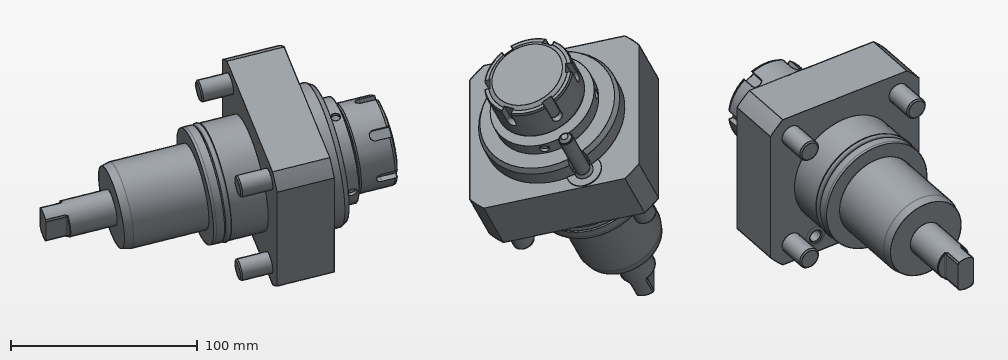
import cadquery as cq
import math


PLATE_SIDE = 96.0
PLATE_CORNER_DIA = 125.0
PLATE_BACK = 32.2

FLANGE_RADIUS = 40.0
FLANGE_BACK = 43.7
FLANGE_CHAMFER_RADIAL = 1.8
FLANGE_CHAMFER_LENGTH = 3.0

RELIEF_RADIUS = 26.0
RING_RADIUS = 29.5
RING_FRONT = 44.5
RING_BACK = 52.0
RING_HOLE_RADIUS = 2.6
RING_HOLE_DEPTH = 2.0
RING_HOLE_COUNT = 4
DRILL_POINT_ANGLE = 120.0

NECK_RADIUS = 20.6
NUT_FRONT = 54.0
NUT_RADIUS = 25.0
NUT_FRONT_CHAMFER = 0.8
NUT_RIM = 75.2
NUT_RIM_CHAMFER_RADIAL = 0.5
NUT_RIM_CHAMFER_LENGTH = 1.3
NOSE_BASE_RADIUS = 22.4
NOSE_RADIUS = 20.0
NOSE_BACK = 76.5

SLOT_COUNT = 6
SLOT_WIDTH = 6.0
SLOT_FLOOR_RADIUS = 21.5
SLOT_END = 63.4
LONG_SLOT_INDEX = 4
LONG_SLOT_END = 59.8

COLLAR_RADIUS = 32.5
COLLAR_LENGTH = 30.7
COLLAR_LEAD_RADIAL = 0.1
COLLAR_LEAD_LENGTH = 1.6
SHANK_RADIUS = 24.0
SHANK_END = -77.8
SHANK_CHAMFER_RADIAL = 1.2
SHANK_CHAMFER_LENGTH = 4.8
SHAFT_RADIUS = 10.0
OVERALL_LENGTH = 192.8
SHAFT_END = NOSE_BACK - OVERALL_LENGTH

TANG_WIDTH = 10.0
TANG_LENGTH = 12.0
TANG_CHAMFER_HEIGHT = 1.2
TANG_FLAT_HALF_HEIGHT = 7.8
TANG_ROOT_FILLET = 0.7
SHOULDER_CHAMFER = 0.4

ORING_SECTION_RADIUS = 1.5
GROOVE_BACK = -20.6
GROOVE_WIDTH = 4.0
GROOVE_RADIUS = 30.0

SCREW_X = 34.5
SCREW_Z = 35.5
SCREW_RADIUS = 6.0
SCREW_LENGTH = 17.8
SCREW_CHAMFER = 0.8

PIN_X = -17.0
PIN_Z = -37.4
PIN_RADIUS = 4.0
PIN_STEP = 62.4
PIN_TIP = 64.7
PIN_TIP_RADIUS = 3.5
PIN_TIP_CHAMFER = 1.5
PIN_BASE_RADIUS = 5.2
PIN_BASE_LENGTH = 2.3
PIN_SEAT_RADIUS = 9.8
PIN_SEAT_HEIGHT = 0.4
PIN_CLEARANCE_RADIUS = 5.5
INLET_X = -19.0
INLET_BASE_RADIUS = 6.0
INLET_RIM_RADIUS = 4.2
INLET_HEIGHT = 0.5
INLET_BORE_RADIUS = 3.4
INLET_BORE_DEPTH = 8.0
INLET_CHAMFER = 0.6


def turned(points):
    """Revolve a closed outline of (radius, y) points about the Y axis."""
    return cq.Workplane("XY").polyline(points).close().revolve(360, (0, 0), (0, 1))


def rod(radius, start, end, x=0.0, z=0.0):
    """Cylinder along Y from `start` to `end`."""
    base = cq.Vector(x, start, z)
    axis = cq.Vector(0, 1, 0)
    return cq.Workplane(cq.Solid.makeCylinder(radius, end - start, base, axis))


def make_plate():
    """Square plate with turned corners."""
    square = cq.Workplane("XY").box(PLATE_SIDE, PLATE_BACK, PLATE_SIDE, centered=(True, False, True))
    return square.intersect(rod(PLATE_CORNER_DIA / 2, 0, PLATE_BACK))


def make_turned_core():
    """Everything turned about the tool axis, from the drive shaft to the nose of the collet nut."""
    groove_front = GROOVE_BACK - GROOVE_WIDTH
    return turned([
        (0, SHAFT_END),
        (SHAFT_RADIUS, SHAFT_END),
        (SHAFT_RADIUS, SHANK_END),
        (SHANK_RADIUS - SHANK_CHAMFER_RADIAL, SHANK_END),
        (SHANK_RADIUS, SHANK_END + SHANK_CHAMFER_LENGTH),
        (SHANK_RADIUS, -COLLAR_LENGTH),
        (COLLAR_RADIUS - COLLAR_LEAD_RADIAL, -COLLAR_LENGTH),
        (COLLAR_RADIUS, -COLLAR_LENGTH + COLLAR_LEAD_LENGTH),
        (COLLAR_RADIUS, groove_front),
        (GROOVE_RADIUS, groove_front),
        (GROOVE_RADIUS, GROOVE_BACK),
        (COLLAR_RADIUS, GROOVE_BACK),
        (COLLAR_RADIUS, PLATE_BACK / 2),
        (FLANGE_RADIUS, PLATE_BACK / 2),
        (FLANGE_RADIUS, FLANGE_BACK - FLANGE_CHAMFER_LENGTH),
        (FLANGE_RADIUS - FLANGE_CHAMFER_RADIAL, FLANGE_BACK),
        (RELIEF_RADIUS, FLANGE_BACK),
        (RELIEF_RADIUS, RING_FRONT),
        (RING_RADIUS, RING_FRONT),
        (RING_RADIUS, RING_BACK),
        (NECK_RADIUS, RING_BACK),
        (NECK_RADIUS, NUT_FRONT),
        (NUT_RADIUS - NUT_FRONT_CHAMFER, NUT_FRONT),
        (NUT_RADIUS, NUT_FRONT + NUT_FRONT_CHAMFER),
        (NUT_RADIUS, NUT_RIM - NUT_RIM_CHAMFER_LENGTH),
        (NUT_RADIUS - NUT_RIM_CHAMFER_RADIAL, NUT_RIM),
        (NOSE_BASE_RADIUS, NUT_RIM),
        (NOSE_RADIUS, NOSE_BACK),
        (0, NOSE_BACK),
    ])


def cut_ring_holes(body):
    """Spanner holes with drill-point bottoms around the ring nut."""
    drill_tip = RING_HOLE_RADIUS / math.tan(math.radians(DRILL_POINT_ANGLE / 2))
    hole = turned([
        (0, RING_RADIUS + RING_HOLE_DEPTH),
        (RING_HOLE_RADIUS, RING_RADIUS + RING_HOLE_DEPTH),
        (RING_HOLE_RADIUS, RING_RADIUS - RING_HOLE_DEPTH),
        (0, RING_RADIUS - RING_HOLE_DEPTH - drill_tip),
    ])
    hole = hole.rotate((0, 0, 0), (0, 0, 1), -90).translate((0, (RING_FRONT + RING_BACK) / 2, 0))
    for index in range(RING_HOLE_COUNT):
        body = body.cut(hole.rotate((0, 0, 0), (0, 1, 0), index * 360 / RING_HOLE_COUNT))
    return body


def cut_nut_slots(body):
    """Round-ended wrench slots, open towards the nose of the collet nut."""
    for index in range(SLOT_COUNT):
        slot_end = LONG_SLOT_END if index == LONG_SLOT_INDEX else SLOT_END
        arc_centre = slot_end + SLOT_WIDTH / 2
        slot = (
            cq.Workplane("YZ", origin=(SLOT_FLOOR_RADIUS, 0, 0))
            .moveTo(NOSE_BACK, -SLOT_WIDTH / 2)
            .lineTo(arc_centre, -SLOT_WIDTH / 2)
            .threePointArc((slot_end, 0), (arc_centre, SLOT_WIDTH / 2))
            .lineTo(NOSE_BACK, SLOT_WIDTH / 2)
            .close()
            .extrude(NUT_RADIUS)
        )
        body = body.cut(slot.rotate((0, 0, 0), (0, 1, 0), -index * 360 / SLOT_COUNT))
    return body


def cut_tang(body):
    """Two flats with filleted roots and chamfered long edges at the end of the shaft."""
    half_width = TANG_WIDTH / 2
    shoulder = SHAFT_END + TANG_LENGTH
    chamfer_top = TANG_FLAT_HALF_HEIGHT + TANG_CHAMFER_HEIGHT
    chamfer_x = math.sqrt(SHAFT_RADIUS**2 - chamfer_top**2)
    for side in (1, -1):
        flat = (
            cq.Workplane("XY", origin=(0, 0, -SHAFT_RADIUS))
            .moveTo(side * half_width, SHAFT_END)
            .lineTo(side * half_width, shoulder - TANG_ROOT_FILLET)
            .radiusArc((side * (half_width + TANG_ROOT_FILLET), shoulder), side * TANG_ROOT_FILLET)
            .lineTo(side * SHAFT_RADIUS, shoulder)
            .lineTo(side * SHAFT_RADIUS, SHAFT_END)
            .close()
            .extrude(2 * SHAFT_RADIUS)
        )
        body = body.cut(flat)
        for end in (1, -1):
            edge = (
                cq.Workplane("XZ", origin=(0, SHAFT_END, 0))
                .moveTo(side * half_width, end * TANG_FLAT_HALF_HEIGHT)
                .lineTo(side * chamfer_x, end * chamfer_top)
                .lineTo(side * half_width, end * chamfer_top)
                .close()
                .extrude(-TANG_LENGTH + TANG_ROOT_FILLET)
            )
            body = body.cut(edge)
    return body


def chamfer_shoulder(body):
    """Chamfered rim of the two shoulders beside the tang."""
    shoulder = SHAFT_END + TANG_LENGTH
    rim = turned([
        (SHAFT_RADIUS - SHOULDER_CHAMFER, shoulder),
        (SHAFT_RADIUS, shoulder),
        (SHAFT_RADIUS, shoulder + SHOULDER_CHAMFER),
    ])
    tang_band = (
        cq.Workplane("XY")
        .box(TANG_WIDTH, 2 * SHOULDER_CHAMFER, 2 * SHAFT_RADIUS)
        .translate((0, shoulder, 0))
    )
    return body.cut(rim.cut(tang_band))


def add_screws(body):
    """Four screw ends standing out of the mounting face."""
    for x in (-SCREW_X, SCREW_X):
        for z in (-SCREW_Z, SCREW_Z):
            screw = rod(SCREW_RADIUS, -SCREW_LENGTH, PLATE_BACK / 2, x, z)
            body = body.union(screw.faces("<Y").chamfer(SCREW_CHAMFER))
    return body


def add_coolant_pin(body):
    """Coolant pin on a seat behind the plate, in a clearance cut through the flange edge."""
    base_end = PLATE_BACK + PIN_BASE_LENGTH
    body = body.cut(rod(PIN_CLEARANCE_RADIUS, base_end, FLANGE_BACK, PIN_X, PIN_Z))
    pin = turned([
        (0, PLATE_BACK / 2),
        (PIN_SEAT_RADIUS, PLATE_BACK / 2),
        (PIN_SEAT_RADIUS, PLATE_BACK + PIN_SEAT_HEIGHT),
        (PIN_BASE_RADIUS, PLATE_BACK + PIN_SEAT_HEIGHT),
        (PIN_RADIUS, base_end),
        (PIN_RADIUS, PIN_STEP),
        (PIN_TIP_RADIUS, PIN_STEP),
        (PIN_TIP_RADIUS, PIN_TIP),
        (0, PIN_TIP),
    ])
    pin = pin.faces(">Y").chamfer(PIN_TIP_CHAMFER)
    return body.union(pin.translate((PIN_X, 0, PIN_Z)))


def add_coolant_inlet(body):
    """Low conical rim on the mounting face, with a chamfered blind bore."""
    rim = turned([
        (0, 0),
        (INLET_BASE_RADIUS, 0),
        (INLET_RIM_RADIUS, -INLET_HEIGHT),
        (0, -INLET_HEIGHT),
    ])
    bore = turned([
        (0, -INLET_HEIGHT),
        (INLET_BORE_RADIUS + INLET_CHAMFER, -INLET_HEIGHT),
        (INLET_BORE_RADIUS, -INLET_HEIGHT + INLET_CHAMFER),
        (INLET_BORE_RADIUS, INLET_BORE_DEPTH),
        (0, INLET_BORE_DEPTH),
    ])
    place = (INLET_X, 0, PIN_Z)
    return body.union(rim.translate(place)).cut(bore.translate(place))


def make_holder():
    """The whole tool holder as one solid."""
    body = make_turned_core()
    body = cut_ring_holes(body)
    body = cut_nut_slots(body)
    body = cut_tang(body)
    body = chamfer_shoulder(body)
    body = body.union(make_plate())
    body = add_screws(body)
    body = add_coolant_pin(body)
    return add_coolant_inlet(body)


def make_oring():
    """O-ring on the floor of the groove, against the groove wall nearer the plate."""
    ring_radius = GROOVE_RADIUS + ORING_SECTION_RADIUS
    ring_centre = cq.Vector(0, GROOVE_BACK - ORING_SECTION_RADIUS, 0)
    axis = cq.Vector(0, 1, 0)
    return cq.Workplane(cq.Solid.makeTorus(ring_radius, ORING_SECTION_RADIUS, ring_centre, axis))


holder = make_holder()
oring = make_oring()

result = cq.Compound.makeCompound([holder.val(), oring.val()])